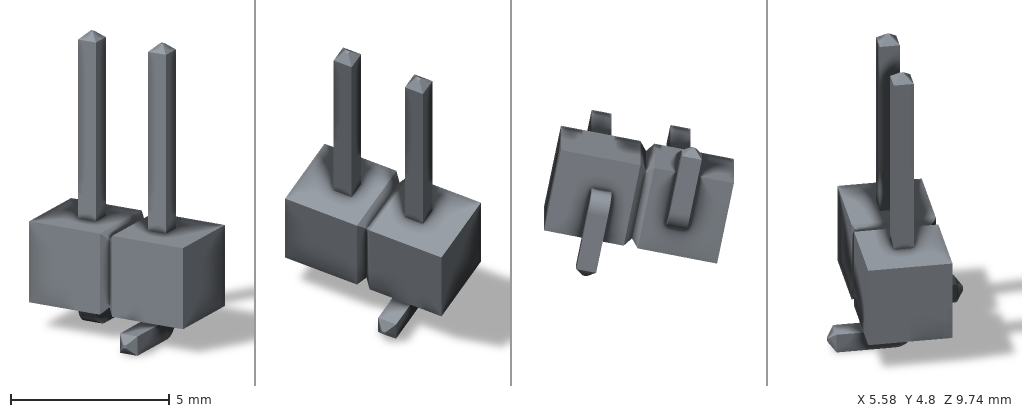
import cadquery as cq

total_height = 9.74
foot_span = 4.8
pitch = 2.54
pin_count = 2

housing_length = 5.58
housing_depth = 2.71
housing_height = 2.7
housing_bottom = 0.85
notch_depth = 0.22

pin_width = 0.64
tip_length = 0.24
tip_flat = 0.12
bend_inner_radius = 0.06
bend_outer_radius = 0.58

half_pin = pin_width / 2
foot_reach = foot_span / 2
pin_xs = [(i - (pin_count - 1) / 2) * pitch for i in range(pin_count)]


def make_housing():
    """Block with a V notch around all four sides and a square hole for each pin."""
    half_length = housing_length / 2
    half_depth = housing_depth / 2
    waist_half_depth = half_depth - notch_depth
    waist_height = housing_height - 2 * notch_depth

    block = (
        cq.Workplane("XY", origin=(0, 0, housing_bottom))
        .moveTo(-half_length, -half_depth)
        .lineTo(-notch_depth, -half_depth)
        .lineTo(0, -waist_half_depth)
        .lineTo(notch_depth, -half_depth)
        .lineTo(half_length, -half_depth)
        .lineTo(half_length, half_depth)
        .lineTo(notch_depth, half_depth)
        .lineTo(0, waist_half_depth)
        .lineTo(-notch_depth, half_depth)
        .lineTo(-half_length, half_depth)
        .close()
        .extrude(housing_height)
    )

    for face_z, apex_z in (
        (housing_bottom, housing_bottom + notch_depth),
        (housing_bottom + housing_height, housing_bottom + notch_depth + waist_height),
    ):
        notch = (
            cq.Workplane("XZ")
            .polyline([(-notch_depth, face_z), (0, apex_z), (notch_depth, face_z)])
            .close()
            .extrude(half_depth, both=True)
        )
        block = block.cut(notch)

    pin_holes = (
        cq.Workplane("XY", origin=(0, 0, housing_bottom))
        .pushPoints([(x, 0) for x in pin_xs])
        .rect(pin_width, pin_width)
        .extrude(housing_height)
    )
    return block.cut(pin_holes)


def make_tip(base_plane):
    """Truncated pyramid that tapers off the end of a pin."""
    return (
        cq.Workplane(base_plane)
        .rect(pin_width, pin_width)
        .workplane(offset=tip_length)
        .rect(tip_flat, tip_flat)
        .loft(ruled=True)
    )


def make_pin():
    """Upright square pin at X = 0, bent at the bottom into a foot toward -Y."""
    shoulder_z = total_height - tip_length
    foot_end_y = -(foot_reach - tip_length)
    shank = (
        cq.Workplane("YZ")
        .moveTo(half_pin, shoulder_z)
        .lineTo(-half_pin, shoulder_z)
        .lineTo(-half_pin, pin_width + bend_inner_radius)
        .radiusArc((-half_pin - bend_inner_radius, pin_width), bend_inner_radius)
        .lineTo(foot_end_y, pin_width)
        .lineTo(foot_end_y, 0)
        .lineTo(half_pin - bend_outer_radius, 0)
        .radiusArc((half_pin, bend_outer_radius), -bend_outer_radius)
        .close()
        .extrude(half_pin, both=True)
    )
    top_plane = cq.Plane(origin=(0, 0, shoulder_z), xDir=(1, 0, 0), normal=(0, 0, 1))
    foot_plane = cq.Plane(origin=(0, foot_end_y, half_pin), xDir=(1, 0, 0), normal=(0, -1, 0))
    return shank.union(make_tip(top_plane)).union(make_tip(foot_plane))


housing = make_housing()

pins = []
for index, x in enumerate(pin_xs):
    turn = 180 if index % 2 == 0 else 0
    pin = make_pin().rotate((0, 0, 0), (0, 0, 1), turn).translate((x, 0, 0))
    pins.append(pin.val())

result = cq.Compound.makeCompound([housing.val(), *pins])